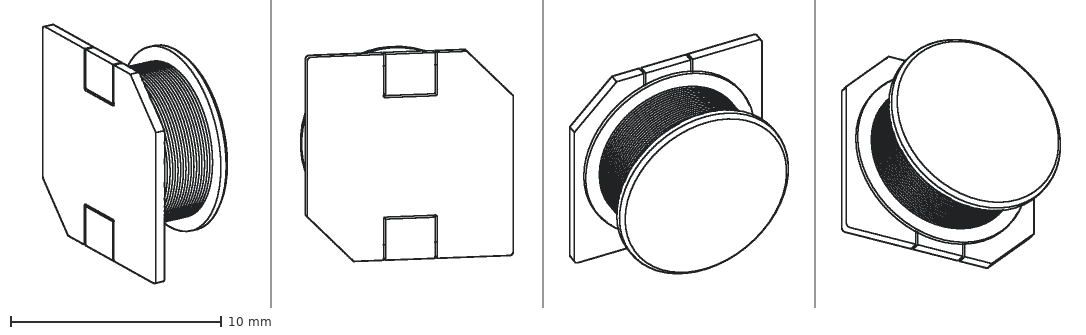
import cadquery as cq

plate_side = 10.0
plate_thickness = 0.5
corner_cut = 2.25
corner_radius = 0.2

pad_width = 2.4
pad_length = 2.0
pad_gap = 0.1

flange_radius = 4.5
inner_flange_thickness = 0.2
outer_flange_thickness = 0.5
outer_flange_chamfer = 0.2
winding_radius = 3.8
turn_count = 22
turn_pitch = 0.15
turn_crown = 0.03

half_side = plate_side / 2
winding_start = plate_thickness + inner_flange_thickness
winding_end = winding_start + turn_count * turn_pitch
bobbin_end = winding_end + outer_flange_thickness


def make_plate():
    """Plate with two opposite corners cut off and the other two rounded."""
    cut_start = half_side - corner_cut
    outline = [
        (-half_side, half_side),
        (cut_start, half_side),
        (half_side, cut_start),
        (half_side, -half_side),
        (-cut_start, -half_side),
        (-half_side, -cut_start),
    ]
    plate = cq.Workplane("XZ").polyline(outline).close().extrude(-plate_thickness)
    for x_side, z_side in ((-1, 1), (1, -1)):
        corner = (x_side * half_side, plate_thickness / 2, z_side * half_side)
        plate = plate.edges(cq.selectors.NearestToPointSelector(corner)).fillet(corner_radius)
    return plate


def make_pad_gap(z_side):
    """U-shaped cutter around the pad at the upper (+1) or lower (-1) plate edge."""

    def block(width, length):
        center_z = z_side * (half_side - length / 2)
        return cq.Workplane("XZ").center(0, center_z).rect(width, length).extrude(-plate_thickness)

    inner_corners = "<Z" if z_side > 0 else ">Z"
    pocket = block(pad_width + 2 * pad_gap, pad_length + pad_gap)
    pocket = pocket.faces(inner_corners).edges("|Y").fillet(pad_gap)
    return pocket.cut(block(pad_width, pad_length))


def make_bobbin():
    """Two flanges and the tightly wound turns between them, as one revolved profile."""
    valley_radius = winding_radius - turn_crown
    profile = (
        cq.Workplane("XY")
        .moveTo(0, plate_thickness)
        .lineTo(flange_radius, plate_thickness)
        .lineTo(flange_radius, winding_start)
        .lineTo(valley_radius, winding_start)
    )
    for turn in range(turn_count):
        turn_start = winding_start + turn * turn_pitch
        crest = (winding_radius, turn_start + turn_pitch / 2)
        profile = profile.threePointArc(crest, (valley_radius, turn_start + turn_pitch))
    profile = (
        profile.lineTo(flange_radius, winding_end)
        .lineTo(flange_radius, bobbin_end - outer_flange_chamfer)
        .lineTo(flange_radius - outer_flange_chamfer, bobbin_end)
        .lineTo(0, bobbin_end)
        .close()
    )
    return profile.revolve(360, (0, 0, 0), (0, 1, 0))


plate = make_plate()
for side in (-1, 1):
    plate = plate.cut(make_pad_gap(side))

result = plate.union(make_bobbin())